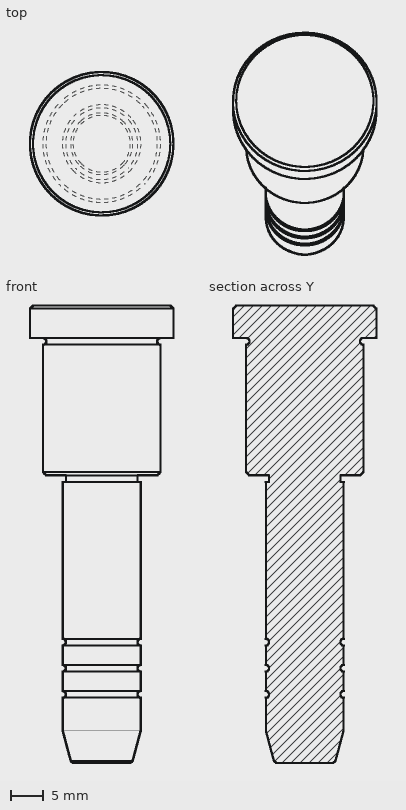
import cadquery as cq
import math

total_length = 70.0

head_diameter = 22.0
head_thickness = 5.0
head_chamfer = 0.5

body_diameter = 18.0
body_end = 26.0
body_chamfer = 0.5

shank_diameter = 12.0
undercut_diameter = 11.0
undercut_length = 1.0

groove_radius = 0.5
first_ring_depth = 51.5
ring_pitch = 4.0
ring_count = 3

tip_length = 5.0
tip_half_angle = 15.0
tip_chamfer = 0.3


def cylinder(diameter, top_depth, bottom_depth):
    """Cylinder on the Z axis between two depths below the head face."""
    return (
        cq.Workplane("XY")
        .workplane(offset=total_length - bottom_depth)
        .circle(diameter / 2)
        .extrude(bottom_depth - top_depth)
    )


def make_head():
    head = cylinder(head_diameter, 0, head_thickness)
    return head.faces(">Z").chamfer(head_chamfer)


def make_body():
    body = cylinder(body_diameter, head_thickness, body_end)
    return body.faces("<Z").chamfer(body_chamfer)


def make_shank():
    """Shank with a relief under the body and a chamfered conical lead-in tip."""
    undercut_radius = undercut_diameter / 2
    body_height = total_length - body_end
    undercut_height = body_height - undercut_length
    shank_radius = shank_diameter / 2
    tip_radius = shank_radius - tip_length * math.tan(math.radians(tip_half_angle))
    shank = (
        cq.Workplane("XZ")
        .moveTo(0, 0)
        .lineTo(tip_radius, 0)
        .lineTo(shank_radius, tip_length)
        .lineTo(shank_radius, undercut_height)
        .lineTo(undercut_radius, undercut_height)
        .lineTo(undercut_radius, body_height)
        .lineTo(0, body_height)
        .close()
        .revolve(360, (0, 0, 0), (0, 1, 0))
    )
    return shank.faces("<Z").chamfer(tip_chamfer)


def ring_groove(diameter, depth):
    """Half-round ring cutter centred on a surface of the given diameter."""
    return (
        cq.Workplane("XZ")
        .center(diameter / 2, total_length - depth)
        .circle(groove_radius)
        .revolve(360, (-diameter / 2, 0, 0), (-diameter / 2, 1, 0))
    )


body = make_body().cut(ring_groove(body_diameter, head_thickness + groove_radius))

shank = make_shank()
for ring in range(ring_count):
    shank = shank.cut(ring_groove(shank_diameter, first_ring_depth + ring * ring_pitch))

result = make_head().union(body).union(shank)